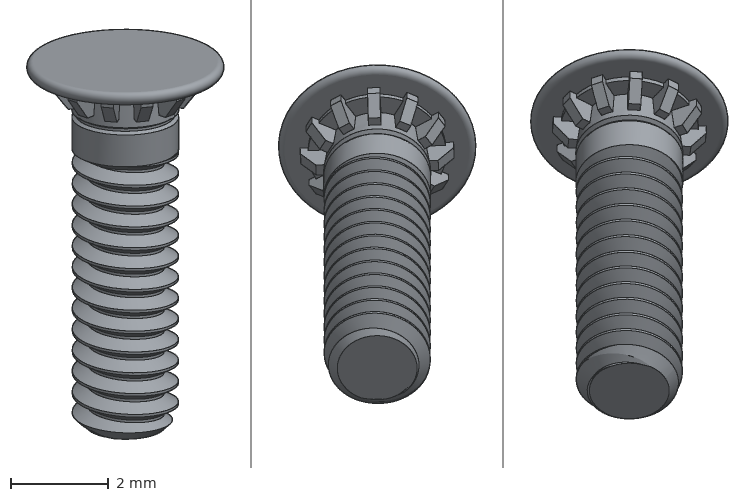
import cadquery as cq
import math

LENGTH = 7.94

HEAD_DIA = 4.04
HEAD_THICK = 0.26
RIM_BULGE = 0.13
HEAD_UNDERSIDE = LENGTH - HEAD_THICK

RING_DIA = 2.83
RING_THICK = 0.1
RIB_COUNT = 12
RIB_WIDTH = 0.255
RIB_TOP_RADIUS = 1.57
RIB_BOTTOM_RADIUS = 1.255
RIB_STRAIGHT = 0.2
RIB_HEIGHT = 0.62

SHOULDER_DIA = 2.19
NECK_TOP_DIA = 2.02
NECK_BOTTOM_DIA = 2.2
GROOVE_DEPTH = 0.08
GROOVE_WIDTH = 0.16
GROOVE_FLOOR = 0.055
SHOULDER_TOP = 6.725
SHOULDER_BOTTOM = 6.035

THREAD_DIA = 2.175
TURN_COUNT = 14
TURNS_LENGTH = 6.35
PITCH = TURNS_LENGTH / TURN_COUNT
FLANK_ANGLE = 30.0
FLANK_SLOPE = math.tan(math.radians(FLANK_ANGLE))
CREST_WIDTH = PITCH / 8
ROOT_RADIUS = 0.795
TIP_RADIUS = 0.82
ROOT_OVERLAP = 0.03
ROD_OVERRUN = 1.59
RIDGE_TOP = 6.495
RIDGE_TURNS = TURN_COUNT + 1

SHOULDER_RADIUS = SHOULDER_DIA / 2
THREAD_RADIUS = THREAD_DIA / 2


def make_head():
    """Disc with an arc for the rim between its two flat faces."""
    flat_radius = HEAD_DIA / 2 - RIM_BULGE
    head = (
        cq.Workplane("XZ")
        .moveTo(0, HEAD_UNDERSIDE)
        .lineTo(flat_radius, HEAD_UNDERSIDE)
        .threePointArc((HEAD_DIA / 2, HEAD_UNDERSIDE + HEAD_THICK / 2), (flat_radius, LENGTH))
        .lineTo(0, LENGTH)
        .close()
    )
    return head.revolve(360, (0, 0), (0, 1))


def make_ring():
    ring = cq.Workplane("XY").workplane(offset=HEAD_UNDERSIDE - RING_THICK)
    return ring.circle(RING_DIA / 2).extrude(RING_THICK)


def make_rib():
    """One radial rib along +X: straight below the head, then sloping inward."""
    bottom = HEAD_UNDERSIDE - RIB_HEIGHT
    outline = [
        (0, HEAD_UNDERSIDE),
        (RIB_TOP_RADIUS, HEAD_UNDERSIDE),
        (RIB_TOP_RADIUS, HEAD_UNDERSIDE - RIB_STRAIGHT),
        (RIB_BOTTOM_RADIUS, bottom),
        (0, bottom),
    ]
    return cq.Workplane("XZ").polyline(outline).close().extrude(RIB_WIDTH / 2, both=True)


def make_shoulder():
    """Neck, groove and plain shoulder with a conical underside."""
    groove_radius = SHOULDER_RADIUS - GROOVE_DEPTH
    groove_middle = SHOULDER_TOP + GROOVE_WIDTH / 2
    cone_height = (SHOULDER_RADIUS - ROOT_RADIUS) * FLANK_SLOPE
    outline = [
        (0, SHOULDER_BOTTOM - cone_height),
        (ROOT_RADIUS, SHOULDER_BOTTOM - cone_height),
        (SHOULDER_RADIUS, SHOULDER_BOTTOM),
        (SHOULDER_RADIUS, SHOULDER_TOP),
        (groove_radius, groove_middle - GROOVE_FLOOR / 2),
        (groove_radius, groove_middle + GROOVE_FLOOR / 2),
        (NECK_BOTTOM_DIA / 2, SHOULDER_TOP + GROOVE_WIDTH),
        (NECK_TOP_DIA / 2, HEAD_UNDERSIDE),
        (0, HEAD_UNDERSIDE),
    ]
    return cq.Workplane("XZ").polyline(outline).close().revolve(360, (0, 0), (0, 1))


def make_ridge():
    """Helical ridge of the thread, with its foot sunk into the root cylinder."""
    start = RIDGE_TOP - RIDGE_TURNS * PITCH
    foot_radius = ROOT_RADIUS - ROOT_OVERLAP
    crest_half = CREST_WIDTH / 2
    foot_half = crest_half + (THREAD_RADIUS - foot_radius) * FLANK_SLOPE
    section = [
        (foot_radius, start - foot_half),
        (THREAD_RADIUS, start - crest_half),
        (THREAD_RADIUS, start + crest_half),
        (foot_radius, start + foot_half),
    ]
    helix = cq.Wire.makeHelix(PITCH, RIDGE_TURNS * PITCH, ROOT_RADIUS, lefthand=True)
    path = helix.translate(cq.Vector(0, 0, start))
    return cq.Workplane("XZ").polyline(section).close().sweep(path, isFrenet=True)


def make_thread():
    """Threaded rod, trimmed to a flat tip with a 45 degree chamfer."""
    rod = cq.Workplane("XY").workplane(offset=-ROD_OVERRUN).circle(ROOT_RADIUS)
    rod = rod.extrude(ROD_OVERRUN + HEAD_UNDERSIDE)
    envelope = (
        cq.Workplane("XY")
        .circle(SHOULDER_RADIUS)
        .extrude(HEAD_UNDERSIDE)
        .faces("<Z")
        .chamfer(SHOULDER_RADIUS - TIP_RADIUS)
    )
    return rod.union(make_ridge()).intersect(envelope)


result = make_thread().union(make_shoulder())
result = result.union(make_head()).union(make_ring())
for index in range(RIB_COUNT):
    rib = make_rib().rotate((0, 0, 0), (0, 0, 1), index * 360 / RIB_COUNT)
    result = result.union(rib)